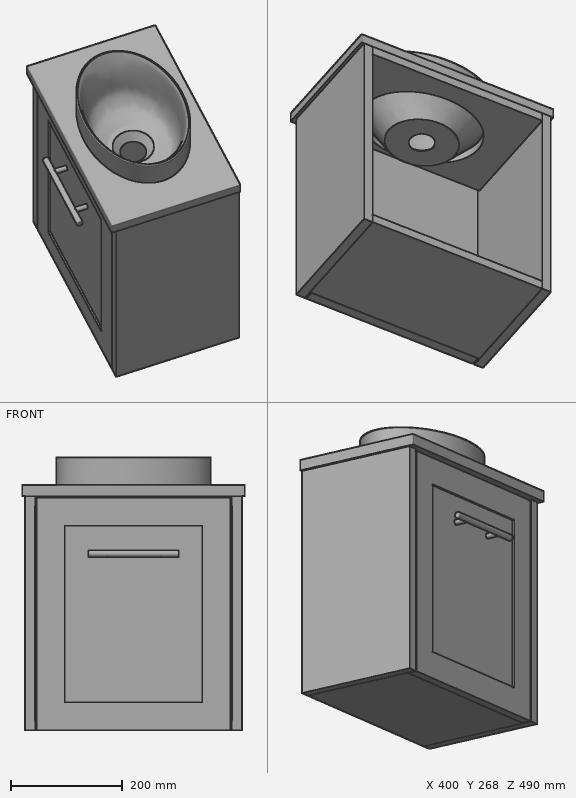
import cadquery as cq


total_height = 490.0
total_depth = 268.0

worktop_width = 400.0
worktop_depth = 250.0
worktop_top = 440.0
worktop_thickness = 20.0
worktop_edge_radius = 0.5
worktop_bottom = worktop_top - worktop_thickness

board = 18.0
cabinet_width = 389.5
cabinet_depth = 239.0
cabinet_height = worktop_bottom
opening_width = cabinet_width - 2 * board

door_side_gap = 3.0
door_top_gap = 3.0
door_width = opening_width - 2 * door_side_gap
door_height = cabinet_height - door_top_gap
door_frame_width = 50.0
door_recess_depth = 4.0
door_back = board - cabinet_depth
recess_face = door_recess_depth - cabinet_depth

bar_diameter = 12.0
bar_length = 161.5
bar_edge_radius = 1.0
bar_height = 316.5
post_diameter = 10.0
post_spacing = 96.0
bar_y = bar_diameter / 2 - total_depth

basin_half_length = 138.5
basin_half_width = 95.0
basin_y = -125.5
basin_rim_radius = 2.0
underside_top_half_length = 117.5
underside_top_half_width = 88.0
underside_bottom_half_length = 68.5
underside_bottom_half_width = 61.2
drain_top_radius = 37.0
drain_hole_radius = 23.5
drain_cone_depth = 14.5
bowl_sections = [
    (0.0, 135.5, 92.0),
    (5.0, 131.0, 88.5),
    (19.5, 121.0, 86.0),
    (39.0, 111.5, 84.5),
    (73.5, 102.0, 79.5),
    (95.5, 79.5, 67.0),
    (105.5, 56.0, 52.0),
    (110.2, drain_top_radius, drain_top_radius),
]
bowl_depth = bowl_sections[-1][0]
drain_bottom = total_height - bowl_depth - drain_cone_depth


def box(width, y_front, y_back, z_bottom, z_top, x_centre=0):
    """Block centred on x_centre between the given Y and Z limits."""
    return (
        cq.Workplane("XY", origin=(x_centre, (y_front + y_back) / 2, z_bottom))
        .rect(width, y_back - y_front)
        .extrude(z_top - z_bottom)
    )


def basin_plane(z):
    """Horizontal workplane at height z on the vertical axis of the basin."""
    return cq.Workplane("XY", origin=(0, basin_y, z))


def basin_cylinder(z_bottom, z_top):
    """Upright elliptical cylinder with the outline of the basin."""
    return basin_plane(z_bottom).ellipse(basin_half_length, basin_half_width).extrude(z_top - z_bottom)


def make_worktop():
    """Slab with softened upright and top edges and an opening for the basin."""
    slab = box(worktop_width, -worktop_depth, 0, worktop_bottom, worktop_top)
    slab = slab.edges("|Z or >Z").fillet(worktop_edge_radius)
    return slab.cut(basin_cylinder(worktop_bottom, worktop_top))


def make_side_panel(side):
    """Upright board at the left (side = -1) or right (side = 1) of the cabinet."""
    x_centre = side * (cabinet_width - board) / 2
    return box(board, -cabinet_depth, 0, 0, cabinet_height, x_centre)


def make_top_panel():
    """Board under the worktop, between the side panels, with an opening for the basin underside."""
    panel_bottom = cabinet_height - board
    panel = box(opening_width, door_back, 0, panel_bottom, cabinet_height)
    opening = (
        basin_plane(panel_bottom)
        .ellipse(underside_top_half_length, underside_top_half_width)
        .extrude(board)
    )
    return panel.cut(opening)


def make_bottom_panel():
    """Board on the cabinet floor, between the side panels and behind the door."""
    return box(opening_width, door_back, 0, 0, board)


def make_door():
    """Shaker door: a board with a shallow rectangular recess inside its frame."""
    slab = box(door_width, -cabinet_depth, door_back, 0, door_height)
    recess = box(
        door_width - 2 * door_frame_width,
        -cabinet_depth,
        recess_face,
        door_frame_width,
        door_height - door_frame_width,
    )
    return slab.cut(recess)


def make_handle():
    """Round bar along X, carried by two round posts that stand on the recessed door face."""
    handle = (
        cq.Workplane("YZ", origin=(-bar_length / 2, bar_y, bar_height))
        .circle(bar_diameter / 2)
        .extrude(bar_length)
        .edges()
        .fillet(bar_edge_radius)
    )
    for side in (-1, 1):
        post = (
            cq.Workplane("XZ", origin=(side * post_spacing / 2, recess_face, bar_height))
            .circle(post_diameter / 2)
            .extrude(recess_face - bar_y)
        )
        handle = handle.union(post)
    return handle


def make_bowl_cavity():
    """Smooth hollow through the bowl sections."""
    rings = []
    for depth, half_length, half_width in bowl_sections:
        ring = basin_plane(total_height - depth).ellipse(half_length, half_width)
        rings.append(ring.val())
    return cq.Workplane(cq.Solid.makeLoft(rings))


def make_underside():
    """Tapered oval block below the worktop with a flat bottom around the drain."""
    return (
        basin_plane(worktop_bottom)
        .ellipse(underside_top_half_length, underside_top_half_width)
        .workplane(offset=drain_bottom - worktop_bottom)
        .ellipse(underside_bottom_half_length, underside_bottom_half_width)
        .loft()
    )


def make_drain():
    """Cone that narrows from the bowl floor to the drain hole."""
    return (
        basin_plane(drain_bottom)
        .circle(drain_hole_radius)
        .workplane(offset=drain_cone_depth)
        .circle(drain_top_radius)
        .loft()
    )


def make_basin():
    """Oval basin: upright wall through the worktop, tapered underside and a bowl with a conical drain."""
    wall = basin_cylinder(worktop_bottom, total_height)
    wall = wall.faces(">Z").edges().fillet(basin_rim_radius)
    return wall.union(make_underside()).cut(make_bowl_cavity()).cut(make_drain())


worktop = make_worktop()
basin = make_basin()
side_panels = [make_side_panel(side) for side in (-1, 1)]
top_panel = make_top_panel()
bottom_panel = make_bottom_panel()
door = make_door()
handle = make_handle()

result = cq.Compound.makeCompound(
    [
        worktop.val(),
        basin.val(),
        *[panel.val() for panel in side_panels],
        top_panel.val(),
        bottom_panel.val(),
        door.val(),
        handle.val(),
    ]
)